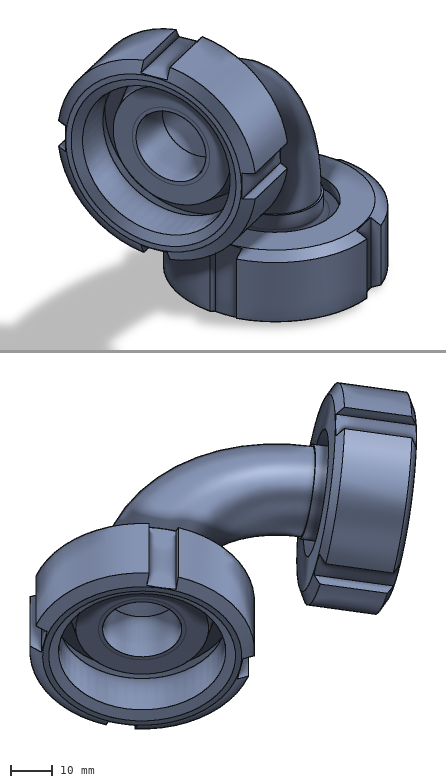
import cadquery as cq
import math

overall = 89.3
nut_diameter = 54.0
nut_radius = nut_diameter / 2
nut_height = 19.9

nut_face_diameter = 47.85
nut_bevel_length = 1.7
mouth_diameter = 44.9
mouth_bevel_length = 1.4
nut_bore_diameter = 40.2
nut_hole_diameter = 31.0
nut_bore_end = 11.9
undercut_diameter = 44.4
lip_thickness = 3.0
nut_floor_depth = nut_height - lip_thickness
slot_width = 7.1
slot_floor_radius = 24.0
slot_count = 4

axis_reach = overall - math.sqrt(nut_radius**2 - (slot_width / 2) ** 2)

liner_face_depth = 8.9
liner_bore_diameter = 19.0
liner_face_diameter = 32.0
liner_flange_diameter = 36.0
neck_diameter = 23.0
neck_projection = 2.4
neck_fillet = 1.4
liner_land_diameter = 21.1
liner_face_drop = 0.45

tube_diameter = 22.0
tube_bore_diameter = liner_bore_diameter
neck_end = nut_height + neck_projection
bend_radius = axis_reach - neck_end


def revolve_profile(outline):
    """Turn a closed (radius, height) outline about the Z axis."""
    return outline.close().revolve(360, (0, 0, 0), (0, 1, 0)).rotate((0, 0, 0), (1, 0, 0), 90)


def make_nut():
    """Slotted ring nut with its mouth at Z = 0 and an undercut behind its bore."""
    face_radius = nut_face_diameter / 2
    bore_radius = nut_bore_diameter / 2
    undercut_radius = undercut_diameter / 2
    hole_radius = nut_hole_diameter / 2
    nut = revolve_profile(
        cq.Workplane("XY")
        .moveTo(mouth_diameter / 2, 0)
        .lineTo(face_radius, 0)
        .lineTo(nut_radius, nut_bevel_length)
        .lineTo(nut_radius, nut_height - nut_bevel_length)
        .lineTo(face_radius, nut_height)
        .lineTo(hole_radius, nut_height)
        .lineTo(hole_radius, nut_floor_depth)
        .lineTo(undercut_radius, nut_floor_depth)
        .lineTo(undercut_radius, nut_bore_end)
        .lineTo(bore_radius, nut_bore_end)
        .lineTo(bore_radius, mouth_bevel_length)
    )
    slots = (
        cq.Workplane("XY")
        .polarArray(slot_floor_radius + nut_radius / 2, 0, 360, slot_count)
        .rect(nut_radius, slot_width)
        .extrude(nut_height)
    )
    return nut.cut(slots)


def make_liner():
    """Flanged liner whose sealing face looks out of the nut mouth."""
    bore_radius = liner_bore_diameter / 2
    neck_radius = neck_diameter / 2
    diagonal = neck_fillet * (1 - math.sqrt(0.5))
    return revolve_profile(
        cq.Workplane("XY")
        .moveTo(bore_radius, liner_face_depth)
        .lineTo(liner_land_diameter / 2, liner_face_depth)
        .lineTo(liner_face_diameter / 2, liner_face_depth + liner_face_drop)
        .lineTo(liner_flange_diameter / 2, nut_floor_depth)
        .lineTo(neck_radius + neck_fillet, nut_floor_depth)
        .threePointArc(
            (neck_radius + diagonal, nut_floor_depth + diagonal),
            (neck_radius, nut_floor_depth + neck_fillet),
        )
        .lineTo(neck_radius, neck_end)
        .lineTo(bore_radius, neck_end)
    )


def make_elbow():
    """Quarter bend from the vertical pipe end to the horizontal one."""
    return (
        cq.Workplane("XY", origin=(0, 0, neck_end))
        .circle(tube_diameter / 2)
        .circle(tube_bore_diameter / 2)
        .revolve(90, (0, -bend_radius, 0), (1, -bend_radius, 0))
    )


def move_to_front(body):
    """Carry a body from the lower pipe end to the pipe end that opens toward -Y."""
    return body.rotate((0, 0, 0), (1, 0, 0), -90).translate((0, -axis_reach, axis_reach))


elbow = make_elbow()
lower_nut = make_nut()
lower_liner = make_liner()
nuts = [lower_nut, move_to_front(lower_nut)]
liners = [lower_liner, move_to_front(lower_liner)]

result = cq.Compound.makeCompound([elbow.val()] + [body.val() for body in nuts + liners])